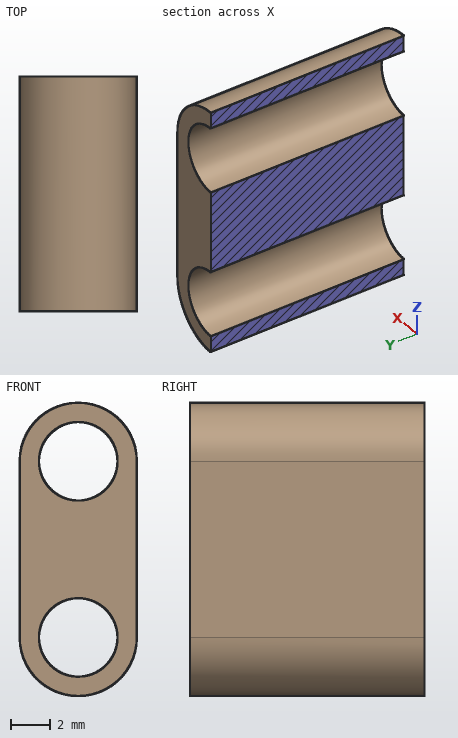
import cadquery as cq

width = 6.0
depth = 12.0
height = 15.0
hole_diameter = 4.0

hole_spacing = height - width


def link_body():
    """Slot-shaped outline in the XZ plane, extruded evenly about Y = 0."""
    return cq.Workplane("XZ").slot2D(height, width, angle=90).extrude(depth / 2, both=True)


def through_holes():
    """Two parallel bores along Y, one in each rounded end."""
    return (
        cq.Workplane("XZ")
        .pushPoints([(0, -hole_spacing / 2), (0, hole_spacing / 2)])
        .circle(hole_diameter / 2)
        .extrude(depth / 2, both=True)
    )


result = link_body().cut(through_holes())